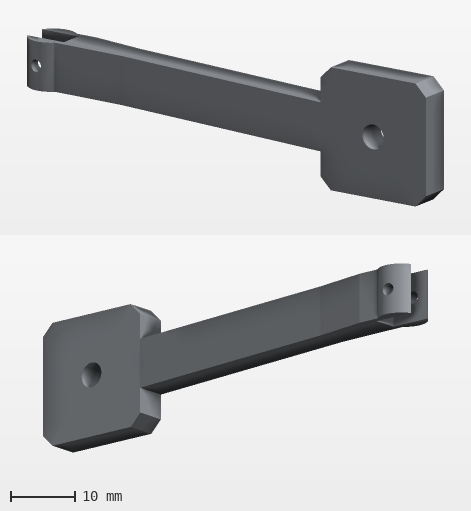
import cadquery as cq

length = 79.0
plate_side = 20.0
plate_thickness = 5.0
corner_chamfer = 2.0
plate_hole_diameter = 4.0
plate_start = length - plate_side
plate_center = length - plate_side / 2

arm_height = 8.0
neck_width = 6.2
front_bend_start = 8.8
back_bend_start = 9.55
bend_end = 18.8
bend_front_y = 3.8
bend_back_y = 8.8

fork_center_y = 7.07
fork_width = 8.1
cheek_peak_x = 3.5
cheek_end = 5.9
slot_width = 4.0
slot_depth = 6.95
pin_hole_x = 3.0
pin_hole_diameter = 2.0


def make_plate():
    """Square plate with its four corners cut off."""
    return (
        cq.Workplane("XY")
        .box(plate_side, plate_thickness, plate_side)
        .edges("|Y")
        .chamfer(corner_chamfer)
        .translate((plate_center, plate_thickness / 2, 0))
    )


def make_arm():
    """Bent arm with two rounded cheeks either side of an open slot."""
    slot_front = fork_center_y - slot_width / 2
    slot_back = fork_center_y + slot_width / 2
    neck_front = fork_center_y - neck_width / 2
    neck_back = fork_center_y + neck_width / 2
    cheek_front = fork_center_y - fork_width / 2
    cheek_back = fork_center_y + fork_width / 2
    return (
        cq.Workplane("XY")
        .moveTo(slot_depth, slot_front)
        .lineTo(0, slot_front)
        .threePointArc((cheek_peak_x, cheek_front), (cheek_end, neck_front))
        .lineTo(front_bend_start, neck_front)
        .lineTo(bend_end, bend_front_y)
        .lineTo(plate_start, 0)
        .lineTo(plate_start, plate_thickness)
        .lineTo(bend_end, bend_back_y)
        .lineTo(back_bend_start, neck_back)
        .lineTo(cheek_end, neck_back)
        .threePointArc((cheek_peak_x, cheek_back), (0, slot_back))
        .lineTo(slot_depth, slot_back)
        .close()
        .extrude(arm_height / 2, both=True)
    )


def make_cross_hole(x, diameter):
    """Cutter along Y, long enough to pass through the whole part."""
    return (
        cq.Workplane("XZ")
        .center(x, 0)
        .circle(diameter / 2)
        .extrude(length, both=True)
    )


result = (
    make_plate()
    .union(make_arm())
    .cut(make_cross_hole(plate_center, plate_hole_diameter))
    .cut(make_cross_hole(pin_hole_x, pin_hole_diameter))
)